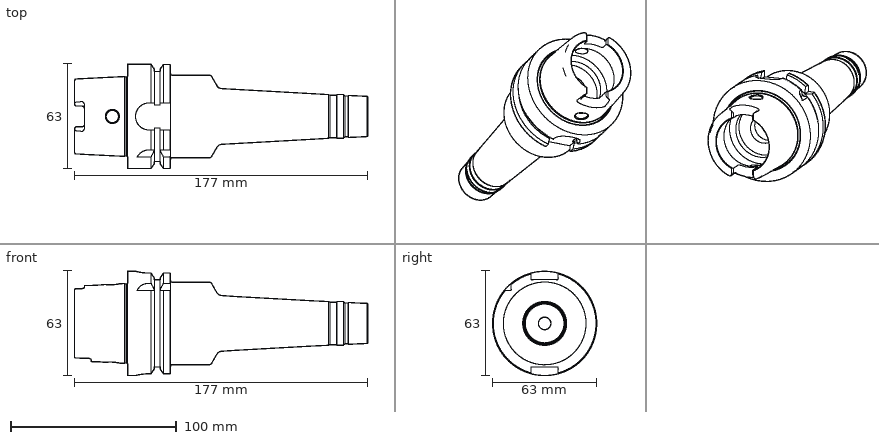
import cadquery as cq
import math


total_length = 177.0
flange_start = 32.0
flange_end = 58.0
nose_shoulder = 82.3

shank_root_radius = 24.2
taper_ratio = 1 / 20
shank_end_radius = shank_root_radius - taper_ratio * flange_start
rim_fillet = 1.0
relief_start = 30.1
relief_end = 31.5
relief_radius = 23.9
relief_entry_length = 0.5
relief_face_depth = 0.5
relief_face_radius = 25.3

flange_radius = 31.5
groove_radius = 27.3
groove_start = 48.1
groove_width = 3.5
flank_length = 2.0
flank_inner_radius = 28.7
flange_chamfer = 0.5

neck_radius = 25.0
neck_base_fillet = 0.9
shoulder_angle = math.radians(60)
shoulder_fillet = 1.8
nose_root_radius = 17.0
nose_root_fillet = 3.0
nose_bands_start = 153.1
nose_bands_radius = 13.3
nose_end_radius = 12.2
nose_end_chamfer = 0.5
band_step = 0.4
band_chamfer = 0.9
first_recess_end = 158.0
band_end = 162.1
second_recess_end = 165.0
tip_radius = 12.7

mouth_radius = 17.0
mouth_chamfer = 0.4
mouth_lip_length = 12.7
clamp_groove_radius = 20.0
clamp_groove_end = 30.1
bore_floor_radius = 16.0
bore_floor = 35.4
counterbore_radius = 8.5
counterbore_floor = 42.5
through_radius = 3.7

cross_hole_radius = 3.7
cross_hole_chamfer = 0.5
cross_hole_position = 22.8

slot_half_width = 6.2
slot_edge_round = 3.2
slot_entry_chamfer = 0.9
slot_shoulder_height = 21.0
slot_corner_fillet = 1.6
upper_slot_depth = 6.0
lower_slot_depth = 10.1

cutter_radius = 8.1
keyway_floor = 26.4
keyway_center = 45.0
notch_wall = 20.2
notch_floor = 20.0

clearance = 1.8
selection_margin = 0.09


def make_body():
    shoulder_run = (neck_radius - nose_root_radius) / math.tan(shoulder_angle)
    nose_root = nose_shoulder + shoulder_run
    recess_radius = nose_bands_radius - band_step
    groove_end = groove_start + groove_width
    profile = (
        cq.Workplane("XY")
        .lineTo(0, shank_end_radius)
        .lineTo(relief_start, shank_end_radius + taper_ratio * relief_start)
        .lineTo(relief_start + relief_entry_length, relief_radius)
        .lineTo(relief_end, relief_radius)
        .lineTo(flange_start + relief_face_depth, relief_face_radius - relief_face_depth)
        .lineTo(flange_start, relief_face_radius)
        .lineTo(flange_start, flange_radius)
        .lineTo(groove_start - flank_length, flange_radius)
        .lineTo(groove_start, flank_inner_radius)
        .lineTo(groove_start, groove_radius)
        .lineTo(groove_end, groove_radius)
        .lineTo(groove_end, flank_inner_radius)
        .lineTo(groove_end + flank_length, flange_radius)
        .lineTo(flange_end - flange_chamfer, flange_radius)
        .lineTo(flange_end, flange_radius - flange_chamfer)
        .lineTo(flange_end, neck_radius)
        .lineTo(nose_shoulder, neck_radius)
        .lineTo(nose_root, nose_root_radius)
        .lineTo(nose_bands_start, nose_bands_radius)
        .lineTo(nose_bands_start + band_chamfer, recess_radius)
        .lineTo(first_recess_end, recess_radius)
        .lineTo(first_recess_end + band_step, nose_bands_radius)
        .lineTo(band_end, nose_bands_radius)
        .lineTo(band_end + band_chamfer, tip_radius - band_step)
        .lineTo(second_recess_end, tip_radius - band_step)
        .lineTo(second_recess_end + band_step, tip_radius)
        .lineTo(total_length - nose_end_chamfer, nose_end_radius)
        .lineTo(total_length, nose_end_radius - nose_end_chamfer)
        .lineTo(total_length, 0)
        .close()
    )
    body = profile.revolve(360, (0, 0, 0), (1, 0, 0))
    for position, radius, fillet in (
        (0, shank_end_radius, rim_fillet),
        (flange_end, neck_radius, neck_base_fillet),
        (nose_shoulder, neck_radius, shoulder_fillet),
        (nose_root, nose_root_radius, nose_root_fillet),
    ):
        body = body.edges(ring_at(position, radius)).fillet(fillet)
    return body


def ring_at(position, radius):
    """Selects the circular edge around the axis at a position."""
    margin = selection_margin
    return cq.selectors.BoxSelector(
        (position - margin, -radius - margin, -radius - margin),
        (position + margin, radius + margin, radius + margin),
        boundingbox=True,
    )


def make_bore():
    profile = (
        cq.Workplane("XY")
        .lineTo(0, mouth_radius + mouth_chamfer)
        .lineTo(mouth_chamfer, mouth_radius)
        .lineTo(mouth_lip_length, mouth_radius)
        .lineTo(mouth_lip_length, clamp_groove_radius)
        .lineTo(clamp_groove_end, clamp_groove_radius)
        .lineTo(clamp_groove_end, bore_floor_radius)
        .lineTo(bore_floor, bore_floor_radius)
        .lineTo(bore_floor, counterbore_radius)
        .lineTo(counterbore_floor, counterbore_radius)
        .lineTo(counterbore_floor, through_radius)
        .lineTo(total_length, through_radius)
        .lineTo(total_length, 0)
        .close()
    )
    return profile.revolve(360, (0, 0, 0), (1, 0, 0))


def make_cross_hole():
    return (
        cq.Workplane("XY")
        .center(cross_hole_position, 0)
        .circle(cross_hole_radius)
        .extrude(flange_radius, both=True)
    )


def cross_hole_mouth(side):
    """Selects the outer rim of the cross hole on the +Z (side 1) or -Z (side -1) side."""
    reach = cross_hole_radius + selection_margin
    return cq.selectors.BoxSelector(
        (cross_hole_position - reach, -reach, side * (clamp_groove_radius + clearance)),
        (cross_hole_position + reach, reach, side * flange_radius),
    )


def make_drive_slot(depth):
    """Slot through the +Z side of the rim, with rounded outer edges and a filleted floor."""
    margin = selection_margin
    bottom = bore_floor_radius / 2
    top = shank_root_radius + clearance
    round_start = slot_shoulder_height - slot_edge_round
    round_center = slot_half_width + slot_edge_round
    outer = round_center + clearance
    round_mid = slot_edge_round * math.sqrt(0.5)
    slot = (
        cq.Workplane("YZ", origin=(-clearance, 0, 0))
        .moveTo(-slot_half_width, bottom)
        .lineTo(slot_half_width, bottom)
        .lineTo(slot_half_width, round_start)
        .threePointArc(
            (round_center - round_mid, round_start + round_mid), (round_center, slot_shoulder_height)
        )
        .lineTo(outer, slot_shoulder_height)
        .lineTo(outer, top)
        .lineTo(-outer, top)
        .lineTo(-outer, slot_shoulder_height)
        .lineTo(-round_center, slot_shoulder_height)
        .threePointArc(
            (round_mid - round_center, round_start + round_mid), (-slot_half_width, round_start)
        )
        .close()
        .extrude(clearance + depth)
    )
    wall_edges = cq.selectors.BoxSelector(
        (depth - margin, -outer + margin, bottom + margin),
        (depth + margin, outer - margin, slot_shoulder_height + margin),
    )
    entry = (
        cq.Workplane("XY", origin=(0, 0, bottom))
        .moveTo(0, -slot_half_width - slot_entry_chamfer)
        .lineTo(slot_entry_chamfer, -slot_half_width)
        .lineTo(slot_entry_chamfer, slot_half_width)
        .lineTo(0, slot_half_width + slot_entry_chamfer)
        .close()
        .extrude(slot_shoulder_height - bottom)
    )
    return slot.edges(wall_edges).fillet(slot_corner_fillet).union(entry)


def make_round_ended_cut(center_y, floor):
    """Flat-floored cut with a round end, open towards the nose and upwards from the floor."""
    length = flange_end - keyway_center
    height = flange_radius + clearance - floor
    plane = cq.Workplane("XY", origin=(keyway_center, center_y, floor))
    end = plane.circle(cutter_radius).extrude(height)
    run = plane.rect(length, 2 * cutter_radius).extrude(height).translate((length / 2, 0, 0))
    return end.union(run)


result = make_body().cut(make_bore()).cut(make_cross_hole())
for side in (1, -1):
    result = result.edges(cross_hole_mouth(side)).chamfer(cross_hole_chamfer)

result = result.cut(make_drive_slot(upper_slot_depth))
result = result.cut(make_drive_slot(lower_slot_depth).mirror("XY"))

keyway = make_round_ended_cut(0, keyway_floor)
result = result.cut(keyway).cut(keyway.mirror("XY"))
result = result.cut(make_round_ended_cut(-notch_wall - cutter_radius, notch_floor))